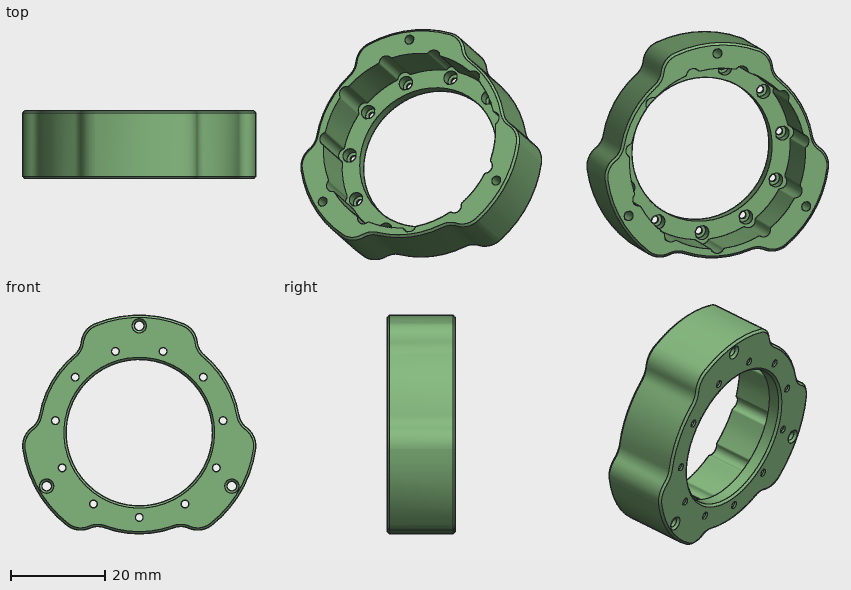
import cadquery as cq
import math

depth = 14.5
lobe_radius = 25.0
waist_radius = 21.5
lobe_count = 3
lobe_half_angle = 22.0
shoulder_radius = 4.8
valley_radius = 4.2
edge_chamfer = 0.5

bore_radius = 15.5
lip_depth = 3.02
cavity_radius = 19.5

screw_count = 11
screw_circle_radius = 18.0
screw_hole_diameter = 1.6
screw_head_diameter = 3.0
screw_seat_thickness = 0.5
groove_radius = 1.5
groove_circle_radius = 19.0
groove_edge_fillet = 0.5

mount_circle_radius = 22.7
mount_hole_diameter = 2.0
countersink_diameter = 3.02
countersink_angle = 90.0

TOP_ANGLE = 90.0
BOTTOM_ANGLE = -90.0


def polar(radius, angle):
    """Point at a radius and an angle in degrees, measured from +X towards +Z."""
    turn = math.radians(angle)
    return (radius * math.cos(turn), radius * math.sin(turn))


def evenly_spaced(radius, count, start_angle):
    return [polar(radius, start_angle + i * 360.0 / count) for i in range(count)]


def arc_middle(center, radius, start, end):
    """Point halfway along the shorter arc from start to end."""
    dx = (start[0] + end[0]) / 2 - center[0]
    dy = (start[1] + end[1]) / 2 - center[1]
    length = math.hypot(dx, dy)
    return (center[0] + radius * dx / length, center[1] + radius * dy / length)


def lobed_outline():
    """Closed outline of lobe and waist arcs about the axis, joined by tangent S-bends."""
    shoulder_distance = lobe_radius - shoulder_radius
    valley_distance = waist_radius + valley_radius
    center_gap = shoulder_radius + valley_radius
    bend_angle = math.degrees(math.acos(
        (shoulder_distance**2 + valley_distance**2 - center_gap**2)
        / (2 * shoulder_distance * valley_distance)
    ))
    waist_start = lobe_half_angle + bend_angle
    pitch = 360.0 / lobe_count

    def bend(lobe_angle, side):
        """Five points of the S-bend, from the lobe arc to the waist arc."""
        lobe_end = lobe_angle + side * lobe_half_angle
        waist_end = lobe_angle + side * waist_start
        shoulder = polar(shoulder_distance, lobe_end)
        valley = polar(valley_distance, waist_end)
        share = shoulder_radius / center_gap
        touch = tuple(s + share * (v - s) for s, v in zip(shoulder, valley))
        start = polar(lobe_radius, lobe_end)
        end = polar(waist_radius, waist_end)
        shoulder_middle = arc_middle(shoulder, shoulder_radius, start, touch)
        valley_middle = arc_middle(valley, valley_radius, touch, end)
        return [start, shoulder_middle, touch, valley_middle, end]

    outline = cq.Workplane("XZ").moveTo(*polar(lobe_radius, TOP_ANGLE - lobe_half_angle))
    for i in range(lobe_count):
        lobe_angle = TOP_ANGLE + i * pitch
        start, shoulder_middle, touch, valley_middle, end = bend(lobe_angle, 1)
        outline = outline.threePointArc(polar(lobe_radius, lobe_angle), start)
        outline = outline.threePointArc(shoulder_middle, touch)
        outline = outline.threePointArc(valley_middle, end)
        start, shoulder_middle, touch, valley_middle, end = bend(lobe_angle + pitch, -1)
        outline = outline.threePointArc(polar(waist_radius, lobe_angle + pitch / 2), end)
        outline = outline.threePointArc(valley_middle, touch)
        outline = outline.threePointArc(shoulder_middle, start)
    return outline.close()


def cavity():
    """Round cavity behind the lip, with a relief groove in line with each screw."""
    cavity_depth = depth - lip_depth
    plane = cq.Workplane("XZ", origin=(0, lip_depth, 0))
    grooves = (
        plane.pushPoints(evenly_spaced(groove_circle_radius, screw_count, BOTTOM_ANGLE))
        .circle(groove_radius)
        .extrude(-cavity_depth)
    )
    fluted = plane.circle(cavity_radius).extrude(-cavity_depth).union(grooves)
    return fluted.edges("|Y").fillet(groove_edge_fillet)


def screw_holes():
    """Screw holes through the lip, counterbored from the cavity side for the heads."""
    centers = evenly_spaced(screw_circle_radius, screw_count, BOTTOM_ANGLE)
    shanks = cq.Workplane("XZ").pushPoints(centers).circle(screw_hole_diameter / 2).extrude(-lip_depth)
    heads = (
        cq.Workplane("XZ", origin=(0, screw_seat_thickness, 0))
        .pushPoints(centers)
        .circle(screw_head_diameter / 2)
        .extrude(screw_seat_thickness - lip_depth)
    )
    return shanks.union(heads)


def bore():
    """Through bore, chamfered at the front face."""
    mouth = cq.Workplane("XZ").circle(bore_radius + edge_chamfer).workplane(offset=-edge_chamfer)
    return cq.Workplane("XZ").circle(bore_radius).extrude(-depth).union(
        mouth.circle(bore_radius).loft()
    )


body = lobed_outline().extrude(-depth).faces("<Y or >Y").edges().chamfer(edge_chamfer)
ring = body.cut(bore()).cut(cavity()).cut(screw_holes())

result = (
    ring.faces("<Y").workplane(origin=(0, 0, 0))
    .pushPoints(evenly_spaced(mount_circle_radius, lobe_count, TOP_ANGLE))
    .cskHole(mount_hole_diameter, countersink_diameter, countersink_angle)
)